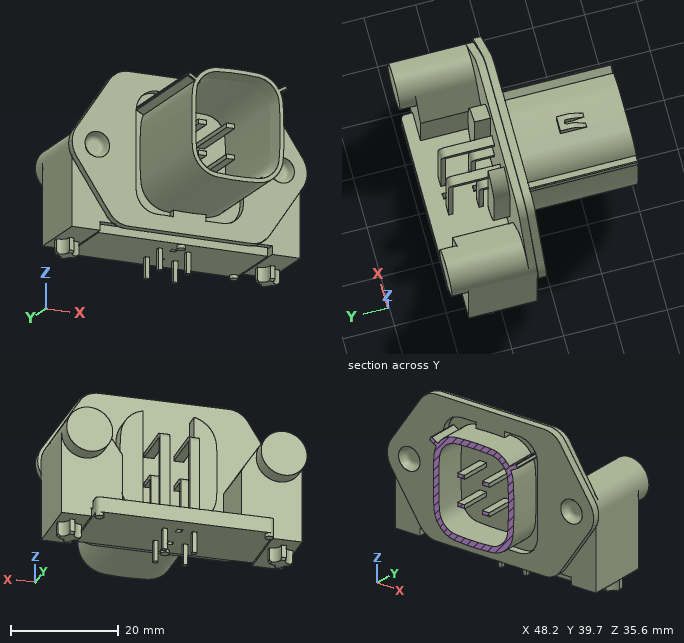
import cadquery as cq
import math


LENGTH = 48.25
FLANGE_END_RADIUS = 5.15
FLANGE_CORNER_RADIUS = 4.55
FLANGE_CORNER_X = 12.6
FLANGE_HALF_HEIGHT = 15.2
FLANGE_CORNER_Z = FLANGE_HALF_HEIGHT - FLANGE_CORNER_RADIUS
FLANGE_THICKNESS = 1.6
HOLE_X = LENGTH / 2 - FLANGE_END_RADIUS

WINDOW_WIDTH = 22.0
WINDOW_HEIGHT = 24.15
WINDOW_RADIUS = 4.35
BRIDGE_WIDTH = 6.65

SOCKET_MOUTH_RADIUS = 2.5
SOCKET_FLOOR_RADIUS = 1.75
SOCKET_FILLET = 0.85

TUBE_RADIUS = 4.5
TUBE_REAR = 18.1
BODY_HALF_WIDTH = HOLE_X + TUBE_RADIUS
WALL_THICKNESS = 1.55
WALL_REAR = FLANGE_THICKNESS + WALL_THICKNESS
WALL_DROP = 0.6
BLOCK_REAR = 14.85
BLOCK_INNER_X = 11.65
BODY_BOTTOM = -16.2
RAISED_BOTTOM = -14.55
LEG_INNER_X = 17.65
FLOOR_TOP = -13.17
FLOOR_HALF_WIDTH = 17.35
FLOOR_FRONT = 3.0
FLOOR_REAR = 17.25
GUIDE_HOLE_SIZE = 1.05

FOOT_RADIUS = 0.8
FOOT_HEIGHT = 0.7
PEG_X = 20.6
PEG_Y = 10.2
PEG_SPAN = 4.55
PEG_CORE = 3.95
PEG_RIB_WIDTH = 0.9
PEG_HEIGHT = 2.9
PEG_CHAMFER = 0.45

SHROUD_HALF_WIDTH = 9.45
SHROUD_HALF_HEIGHT = 10.9
SHROUD_CORNER_X = 3.75
SHROUD_CORNER_Z = 5.2
SHROUD_CORNER_RADIUS = 5.55
SHROUD_FLAT_HALF_HEIGHT = 2.05
SHROUD_FRONT = -21.55
SHROUD_WALL = 1.4
MOUTH_WALL = 0.8
MOUTH_DEPTH = 3.0
CAVITY_FLOOR = FLANGE_THICKNESS
REAR_LUG_END = 6.23
REAR_LUG_INNER_X = 4.95

RIB_ANGLE = 30.0
RIB_TIP_X = 10.15
RIB_TIP_Z = 8.85
RIB_LENGTH = 2.9
RIB_THICKNESS = 0.85
RIB_CHAMFER = 0.17

LATCH_WIDTH = 2.9
LATCH_TOP = 12.5
LATCH_REAR = -8.7
LATCH_BEND = -11.2
LATCH_FRONT = -13.9
LATCH_BEND_RADIUS = 1.9
LATCH_OVERLAP = 0.1
LATCH_BASE = SHROUD_HALF_HEIGHT - LATCH_OVERLAP
SLOT_WIDTH = 0.85
SLOT_MOUTH_WIDTH = 1.25
SLOT_CORNER_RADIUS = 0.3
SLOT_SETBACK = 1.25
SLOT_REAR = LATCH_REAR - SLOT_SETBACK
SLOT_FLARE = -11.7

CONTACT_X = 2.9
CONTACT_ROWS = ((3.05, 13.1), (-3.05, 7.25))
CONTACT_THICKNESS = 0.85
BLADE_WIDTH = 1.65
BLADE_TIP = -12.0
TAIL_WIDTH = 1.9
TAIL_BEND_RADIUS = 1.1
PIN_WIDTH = 0.85
PIN_BOTTOM = -20.4


def box(x0, x1, y0, y1, z0, z1):
    return cq.Workplane("XY").box(x1 - x0, y1 - y0, z1 - z0, centered=False).translate((x0, y0, z0))


def facing_front(y):
    """Plane with local x = X and local y = Z whose normal points to -Y."""
    return cq.Workplane("XZ", origin=(0, y, 0))


def both_sides(solid):
    return solid.union(solid.mirror("YZ"))


def on_circle(center_x, center_z, radius, angle):
    return (center_x + radius * math.cos(angle), center_z + radius * math.sin(angle))


def tangent_angle(corner_x, corner_z, corner_radius, end_radius):
    """Direction of the normal of the line touching the right end circle and upper right corner circle."""
    dx = corner_x - HOLE_X
    distance = math.hypot(dx, corner_z)
    return math.atan2(corner_z, dx) - math.acos((end_radius - corner_radius) / distance)


def mirrored_x(point):
    return (-point[0], point[1])


def mirrored_z(point):
    return (point[0], -point[1])


def flange():
    normal = tangent_angle(FLANGE_CORNER_X, FLANGE_CORNER_Z, FLANGE_CORNER_RADIUS, FLANGE_END_RADIUS)
    corner = (FLANGE_CORNER_X, FLANGE_CORNER_Z, FLANGE_CORNER_RADIUS)
    top = (FLANGE_CORNER_X, FLANGE_HALF_HEIGHT)
    corner_mid = on_circle(*corner, (normal + math.pi / 2) / 2)
    corner_low = on_circle(*corner, normal)
    end_high = on_circle(HOLE_X, 0, FLANGE_END_RADIUS, normal)
    tip = (LENGTH / 2, 0)
    outline = (
        facing_front(FLANGE_THICKNESS)
        .moveTo(0, FLANGE_HALF_HEIGHT)
        .lineTo(*top)
        .threePointArc(corner_mid, corner_low)
        .lineTo(*end_high)
        .threePointArc(tip, mirrored_z(end_high))
        .lineTo(*mirrored_z(corner_low))
        .threePointArc(mirrored_z(corner_mid), mirrored_z(top))
        .lineTo(0, -FLANGE_HALF_HEIGHT)
        .mirrorY()
    )
    window = (
        facing_front(FLANGE_THICKNESS)
        .rect(WINDOW_WIDTH, WINDOW_HEIGHT)
        .extrude(FLANGE_THICKNESS)
        .edges("|Y")
        .fillet(WINDOW_RADIUS)
    )
    bridge = box(-BRIDGE_WIDTH / 2, BRIDGE_WIDTH / 2, 0, FLANGE_THICKNESS,
                 -WINDOW_HEIGHT / 2, WINDOW_HEIGHT / 2)
    return outline.extrude(FLANGE_THICKNESS).cut(window.cut(bridge))


def back_wall():
    """Plate behind the flange: its sloping sides run tangent into the tubes."""
    corner_z = FLANGE_CORNER_Z - WALL_DROP
    corner = (FLANGE_CORNER_X, corner_z, FLANGE_CORNER_RADIUS)
    normal = tangent_angle(*corner, TUBE_RADIUS)
    end_high = on_circle(HOLE_X, 0, TUBE_RADIUS, normal)
    outline = (
        facing_front(WALL_REAR)
        .moveTo(0, corner_z + FLANGE_CORNER_RADIUS)
        .lineTo(FLANGE_CORNER_X, corner_z + FLANGE_CORNER_RADIUS)
        .threePointArc(on_circle(*corner, (normal + math.pi / 2) / 2), on_circle(*corner, normal))
        .lineTo(*end_high)
        .lineTo(HOLE_X, 0)
        .lineTo(LEG_INNER_X, RAISED_BOTTOM)
        .lineTo(0, RAISED_BOTTOM)
        .mirrorY()
    )
    return outline.extrude(WALL_THICKNESS)


def side_block():
    """Right-hand block and tube; the shoulder is tangent to the tube, parallel to a flange side."""
    normal = tangent_angle(FLANGE_CORNER_X, FLANGE_CORNER_Z, FLANGE_CORNER_RADIUS, FLANGE_END_RADIUS)
    touch_x, touch_z = on_circle(HOLE_X, 0, TUBE_RADIUS, math.pi - normal)
    shoulder_z = touch_z - (touch_x - BLOCK_INNER_X) / math.tan(normal)
    block = (
        facing_front(BLOCK_REAR)
        .moveTo(BODY_HALF_WIDTH, 0)
        .threePointArc((HOLE_X, TUBE_RADIUS), (touch_x, touch_z))
        .lineTo(BLOCK_INNER_X, shoulder_z)
        .lineTo(BLOCK_INNER_X, RAISED_BOTTOM)
        .lineTo(LEG_INNER_X, RAISED_BOTTOM)
        .lineTo(LEG_INNER_X, BODY_BOTTOM)
        .lineTo(BODY_HALF_WIDTH, BODY_BOTTOM)
        .close()
        .extrude(BLOCK_REAR - FLANGE_THICKNESS)
    )
    tube = facing_front(TUBE_REAR).center(HOLE_X, 0).circle(TUBE_RADIUS).extrude(TUBE_REAR - BLOCK_REAR)
    return block.union(tube)


def floor():
    slab = box(-FLOOR_HALF_WIDTH, FLOOR_HALF_WIDTH, FLOOR_FRONT, FLOOR_REAR, BODY_BOTTOM, FLOOR_TOP)
    slab = slab.edges("|Z and >Y").fillet(FOOT_RADIUS)
    foot = cq.Workplane("XY").circle(FOOT_RADIUS).extrude(-FOOT_HEIGHT)
    front_foot = foot.translate((0, FLOOR_FRONT + FOOT_RADIUS, BODY_BOTTOM))
    rear_foot = foot.translate((FLOOR_HALF_WIDTH - FOOT_RADIUS, FLOOR_REAR - FOOT_RADIUS, BODY_BOTTOM))
    guide_holes = (
        cq.Workplane("XY", origin=(0, 0, BODY_BOTTOM))
        .pushPoints([(0, tail_y) for _, tail_y in CONTACT_ROWS])
        .rect(GUIDE_HOLE_SIZE, GUIDE_HOLE_SIZE)
        .extrude(FLOOR_TOP - BODY_BOTTOM)
    )
    return slab.cut(guide_holes).union(front_foot).union(both_sides(rear_foot))


def peg():
    """Cross-shaped peg with concave hollows between its four ribs."""
    half_core = PEG_CORE / 2
    plane = cq.Workplane("XY")
    hollows = (
        plane.rect(PEG_CORE, PEG_CORE, forConstruction=True)
        .vertices()
        .circle(half_core - PEG_RIB_WIDTH / 2)
        .extrude(-PEG_HEIGHT)
    )
    core = plane.rect(PEG_CORE, PEG_CORE).extrude(-PEG_HEIGHT).cut(hollows)
    ribs = plane.rect(PEG_SPAN, PEG_RIB_WIDTH).extrude(-PEG_HEIGHT)
    ribs = ribs.union(plane.rect(PEG_RIB_WIDTH, PEG_SPAN).extrude(-PEG_HEIGHT))
    envelope = plane.rect(PEG_SPAN, PEG_SPAN).extrude(-PEG_HEIGHT).faces("<Z").chamfer(PEG_CHAMFER)
    return core.union(ribs).intersect(envelope)


def shroud_outline(y):
    """Closed shroud section; crown and side arcs are tangent to the corner arcs."""
    rise = SHROUD_HALF_HEIGHT - SHROUD_CORNER_Z
    reach = SHROUD_HALF_WIDTH - SHROUD_CORNER_X
    side_rise = SHROUD_CORNER_Z - SHROUD_FLAT_HALF_HEIGHT
    corner_squared = SHROUD_CORNER_RADIUS ** 2
    crown_radius = (SHROUD_CORNER_X ** 2 + rise ** 2 - corner_squared) / (2 * (rise - SHROUD_CORNER_RADIUS))
    side_radius = (side_rise ** 2 + reach ** 2 - corner_squared) / (2 * (reach - SHROUD_CORNER_RADIUS))
    crown_angle = math.acos(SHROUD_CORNER_X / (crown_radius - SHROUD_CORNER_RADIUS))
    side_angle = math.asin(side_rise / (side_radius - SHROUD_CORNER_RADIUS))
    corner = (SHROUD_CORNER_X, SHROUD_CORNER_Z, SHROUD_CORNER_RADIUS)
    crown_end = on_circle(*corner, crown_angle)
    corner_mid = on_circle(*corner, (crown_angle + side_angle) / 2)
    side_end = on_circle(*corner, side_angle)
    side_center_x = SHROUD_HALF_WIDTH - side_radius
    side_mid = on_circle(side_center_x, SHROUD_FLAT_HALF_HEIGHT, side_radius, side_angle / 2)
    flat_end = (SHROUD_HALF_WIDTH, SHROUD_FLAT_HALF_HEIGHT)
    return (
        facing_front(y)
        .moveTo(*mirrored_x(crown_end))
        .threePointArc((0, SHROUD_HALF_HEIGHT), crown_end)
        .threePointArc(corner_mid, side_end)
        .threePointArc(side_mid, flat_end)
        .lineTo(*mirrored_z(flat_end))
        .threePointArc(mirrored_z(side_mid), mirrored_z(side_end))
        .threePointArc(mirrored_z(corner_mid), mirrored_z(crown_end))
        .threePointArc((0, -SHROUD_HALF_HEIGHT), mirrored_x(mirrored_z(crown_end)))
        .threePointArc(mirrored_x(mirrored_z(corner_mid)), mirrored_x(mirrored_z(side_end)))
        .threePointArc(mirrored_x(mirrored_z(side_mid)), mirrored_x(mirrored_z(flat_end)))
        .lineTo(*mirrored_x(flat_end))
        .threePointArc(mirrored_x(side_mid), mirrored_x(side_end))
        .threePointArc(mirrored_x(corner_mid), mirrored_x(crown_end))
        .close()
    )


def shroud():
    return shroud_outline(FLANGE_THICKNESS).extrude(FLANGE_THICKNESS - SHROUD_FRONT)


def shroud_cavity():
    """Plug-side cavity: a straight bore that widens towards the mouth."""
    bore_front = SHROUD_FRONT + MOUTH_DEPTH
    bore = shroud_outline(CAVITY_FLOOR).offset2D(-SHROUD_WALL).extrude(CAVITY_FLOOR - bore_front)
    taper = math.degrees(math.atan((SHROUD_WALL - MOUTH_WALL) / MOUTH_DEPTH))
    mouth = shroud_outline(bore_front).offset2D(-SHROUD_WALL).extrude(MOUTH_DEPTH, taper=-taper)
    return bore.union(mouth)


def rear_lugs():
    """Sides of the shroud section continued behind the wall, open in the middle."""
    lugs = shroud_outline(REAR_LUG_END).extrude(REAR_LUG_END - WALL_REAR)
    gap = box(-REAR_LUG_INNER_X, REAR_LUG_INNER_X, WALL_REAR, REAR_LUG_END,
              -SHROUD_HALF_HEIGHT, SHROUD_HALF_HEIGHT)
    return lugs.cut(gap)


def coding_rib():
    rib = box(-RIB_LENGTH, 0, SHROUD_FRONT, FLANGE_THICKNESS, -RIB_THICKNESS / 2, RIB_THICKNESS / 2)
    rib = rib.faces(">X").edges("|Y").chamfer(RIB_CHAMFER)
    rib = rib.faces("<Y").edges("not <X").chamfer(RIB_CHAMFER)
    return rib.rotate((0, 0, 0), (0, 1, 0), -RIB_ANGLE).translate((RIB_TIP_X, 0, RIB_TIP_Z))


def latch():
    ramp = (
        cq.Workplane("YZ", origin=(-LATCH_WIDTH / 2, 0, 0))
        .moveTo(LATCH_REAR, LATCH_BASE)
        .lineTo(LATCH_REAR, LATCH_TOP)
        .lineTo(LATCH_BEND, LATCH_TOP)
        .lineTo(LATCH_FRONT, LATCH_BASE)
        .close()
        .extrude(LATCH_WIDTH)
    )
    bend = cq.selectors.NearestToPointSelector((0, LATCH_BEND, LATCH_TOP))
    ramp = ramp.edges(bend).fillet(LATCH_BEND_RADIUS)
    slot = (
        cq.Workplane("XY", origin=(0, 0, LATCH_BASE))
        .moveTo(-SLOT_WIDTH / 2, SLOT_REAR)
        .lineTo(SLOT_WIDTH / 2, SLOT_REAR)
        .lineTo(SLOT_WIDTH / 2, SLOT_FLARE)
        .lineTo(SLOT_MOUTH_WIDTH / 2, LATCH_FRONT)
        .lineTo(-SLOT_MOUTH_WIDTH / 2, LATCH_FRONT)
        .lineTo(-SLOT_WIDTH / 2, SLOT_FLARE)
        .close()
        .extrude(LATCH_TOP - LATCH_BASE)
    )
    slot = slot.edges("|Z and >Y").fillet(SLOT_CORNER_RADIUS)
    return ramp.cut(slot)


def mounting_socket():
    """Revolved cutter for the right-hand mounting socket."""
    return (
        cq.Workplane("XY")
        .polyline([(0, 0), (SOCKET_MOUTH_RADIUS, 0),
                   (SOCKET_FLOOR_RADIUS, FLANGE_THICKNESS), (0, FLANGE_THICKNESS)])
        .close()
        .revolve(360, (0, 0, 0), (0, 1, 0))
        .faces(">Y")
        .edges()
        .fillet(SOCKET_FILLET)
        .translate((HOLE_X, 0, 0))
    )


def contact(row_z, tail_y):
    """Right-hand contact of one row, bent down behind the wall and ending in a narrow pin."""
    half = CONTACT_THICKNESS / 2
    blade = box(CONTACT_X - BLADE_WIDTH / 2, CONTACT_X + BLADE_WIDTH / 2,
                BLADE_TIP, CAVITY_FLOOR, row_z - half, row_z + half)
    x0 = CONTACT_X - TAIL_WIDTH / 2
    x1 = CONTACT_X + TAIL_WIDTH / 2
    bar = box(x0, x1, CAVITY_FLOOR, tail_y + half, row_z - half, row_z + half)
    drop = box(x0, x1, tail_y - half, tail_y + half, FLOOR_TOP, row_z + half)
    tail = bar.union(drop)
    outer_bend = cq.selectors.NearestToPointSelector((CONTACT_X, tail_y + half, row_z + half))
    tail = tail.edges(outer_bend).fillet(TAIL_BEND_RADIUS)
    pin = box(CONTACT_X - PIN_WIDTH / 2, CONTACT_X + PIN_WIDTH / 2,
              tail_y - half, tail_y + half, PIN_BOTTOM, FLOOR_TOP)
    return blade.union(tail).union(pin)


result = flange().union(back_wall()).union(both_sides(side_block())).union(floor())
result = result.union(shroud()).union(rear_lugs()).union(both_sides(coding_rib())).union(latch())
result = result.union(both_sides(peg().translate((PEG_X, PEG_Y, BODY_BOTTOM))))
result = result.cut(shroud_cavity()).cut(both_sides(mounting_socket()))

for row_z, tail_y in CONTACT_ROWS:
    result = result.union(both_sides(contact(row_z, tail_y)))